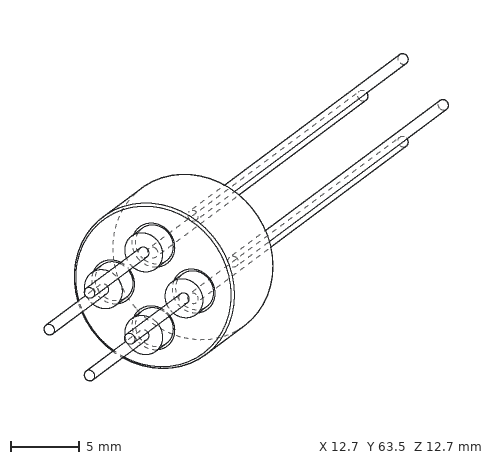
import cadquery as cq

total_length = 63.5
body_diameter = 12.65
body_length = 8.0
front_edge_chamfer = 0.2

boss_count = 4
boss_diameter = 3.0
boss_height = 2.0
countersink_depth = 0.2
pin_circle_radius = 3.2
pin_diameter = 0.8
pin_front_length = 11.0

body_front_y = pin_front_length + boss_height


def front_plane(y):
    """Sketch plane at the given Y whose normal points toward +Y."""
    return cq.Workplane(cq.Plane(origin=(0, y, 0), xDir=(1, 0, 0), normal=(0, 1, 0)))


def pin_positions(y):
    """Points evenly spaced around the pin circle."""
    return front_plane(y).polarArray(pin_circle_radius, 0, 360, boss_count)


body = front_plane(body_front_y).circle(body_diameter / 2).extrude(body_length)
body = body.faces("<Y").chamfer(front_edge_chamfer)

countersinks = (
    pin_positions(body_front_y)
    .circle(boss_diameter / 2 + countersink_depth)
    .extrude(countersink_depth, taper=45)
)

bosses = pin_positions(pin_front_length).circle(boss_diameter / 2).extrude(boss_height + countersink_depth)

pins = pin_positions(0).circle(pin_diameter / 2).extrude(total_length)

result = body.cut(countersinks).union(bosses).union(pins)